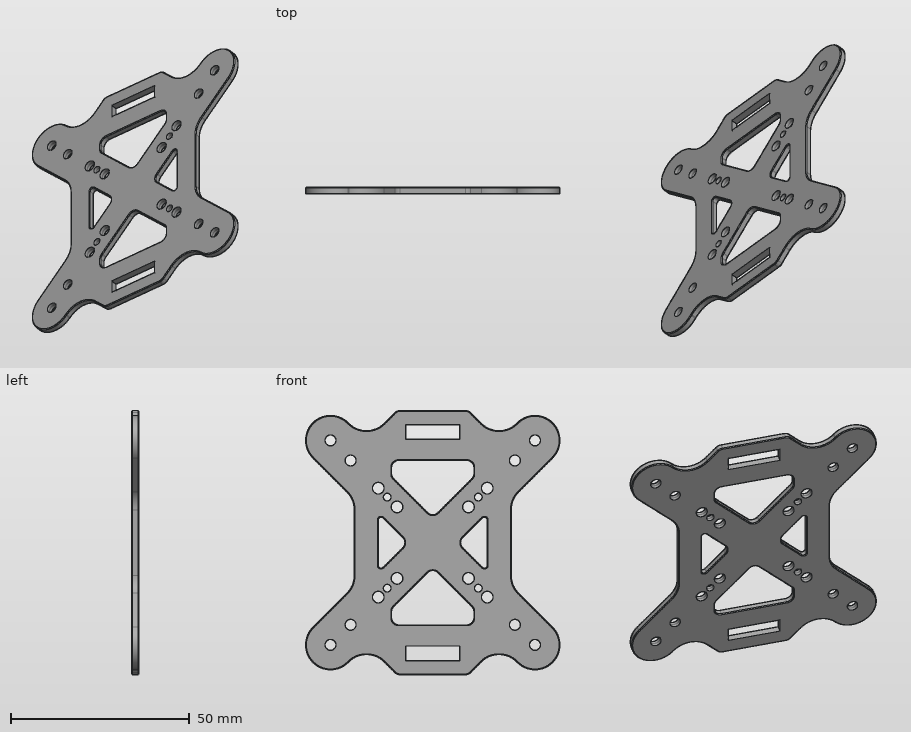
import cadquery as cq
import math

thickness = 2.0
plate_width = 71.25
plate_height = 74.0
edge_break = 0.25

lobe_radius = 7.0
waist_half_width = 22.0
end_tab_half_width = 10.0
waist_fillet = 7.0
valley_fillet = 7.0
end_tab_fillet = 2.0

window_apex = 7.0
end_window_half_width = 11.5
end_window_outer = 23.0
end_window_fillet = 2.0
side_window_outer = 15.25
side_window_apex_fillet = 2.0
side_window_corner_fillet = 0.8

slot_length = 15.0
slot_width = 4.0
slot_offset = 31.0

lobe_offset = plate_width / 2 - lobe_radius
diagonal_holes = [
    (lobe_offset, 3.0),
    (23.0, 3.0),
    (15.25, 3.2),
    (12.75, 2.1),
    (10.0, 3.2),
]

half_height = plate_height / 2
arm_side_intercept = lobe_radius * math.sqrt(2)


def extrude_profile(points):
    """Extrude a closed XZ polygon through the plate, centred on Y = 0."""
    return cq.Workplane("XZ").polyline(points).close().extrude(thickness / 2, both=True)


def corner_selector(x, z):
    """Select the through-thickness edge at a profile corner."""
    reach = 0.01
    return cq.selectors.BoxSelector(
        (x - reach, -thickness, z - reach),
        (x + reach, thickness, z + reach),
    )


def round_corners(body, corners, radius):
    """Fillet the through-thickness edges at the given profile corners."""
    for x, z in corners:
        body = body.edges(corner_selector(x, z)).fillet(radius)
    return body


def mirrored_corners(x, z):
    """Return a corner and its mirror images in the four quadrants."""
    return [(x, z), (-x, z), (-x, -z), (x, -z)]


def make_body():
    """Centre panel with end tabs and four diagonal arms ending in round lobes."""
    tab_side_intercept = half_height + end_tab_half_width
    valley = (
        (tab_side_intercept - arm_side_intercept) / 2,
        (tab_side_intercept + arm_side_intercept) / 2,
    )
    tab = (end_tab_half_width, half_height)
    waist = (waist_half_width, waist_half_width - arm_side_intercept)
    lobe_reach = lobe_radius / math.sqrt(2)
    lobe_near = lobe_offset - lobe_reach
    lobe_far = lobe_offset + lobe_reach

    profile = cq.Workplane("XZ").moveTo(-tab[0], tab[1])
    for sign_x, sign_z in [(1, 1), (1, -1), (-1, -1), (-1, 1)]:
        tab_side = [tab, valley, (lobe_near, lobe_far)]
        waist_side = [waist, (lobe_far, lobe_near)]
        if sign_x == sign_z:
            before, after = tab_side, waist_side[::-1]
        else:
            before, after = waist_side, tab_side[::-1]
        for x, z in before:
            profile = profile.lineTo(sign_x * x, sign_z * z)
        tip = (sign_x * lobe_far, sign_z * lobe_far)
        end_x, end_z = after[0]
        profile = profile.threePointArc(tip, (sign_x * end_x, sign_z * end_z))
        for x, z in after[1:]:
            profile = profile.lineTo(sign_x * x, sign_z * z)
    body = profile.close().extrude(thickness / 2, both=True)

    body = round_corners(body, mirrored_corners(*tab), end_tab_fillet)
    body = round_corners(body, mirrored_corners(*valley), valley_fillet)
    return round_corners(body, mirrored_corners(*waist), waist_fillet)


def make_end_window(side):
    """House-shaped window on the +Z (side = 1) or -Z (side = -1) half."""
    shoulder = side * (window_apex + end_window_half_width)
    outer = side * end_window_outer
    corners = [
        (0, side * window_apex),
        (end_window_half_width, shoulder),
        (end_window_half_width, outer),
        (-end_window_half_width, outer),
        (-end_window_half_width, shoulder),
    ]
    return extrude_profile(corners).edges("|Y").fillet(end_window_fillet)


def make_side_window(side):
    """Triangular window on the +X (side = 1) or -X (side = -1) half."""
    half_base = side_window_outer - window_apex
    apex = (side * window_apex, 0)
    base = [(side * side_window_outer, half_base), (side * side_window_outer, -half_base)]
    window = extrude_profile([apex] + base)
    window = round_corners(window, [apex], side_window_apex_fillet)
    return round_corners(window, base, side_window_corner_fillet)


def cut_slots(body):
    """Cut the strap slot through each end tab."""
    centres = [(0, slot_offset), (0, -slot_offset)]
    slots = cq.Workplane("XZ").pushPoints(centres).rect(slot_length, slot_width)
    return body.cut(slots.extrude(thickness, both=True))


def cut_holes(body):
    """Drill the row of through holes along each diagonal arm."""
    for offset, diameter in diagonal_holes:
        holes = cq.Workplane("XZ").pushPoints(mirrored_corners(offset, offset)).circle(diameter / 2)
        body = body.cut(holes.extrude(thickness, both=True))
    return body


plate = make_body()
for side in (1, -1):
    plate = plate.cut(make_end_window(side)).cut(make_side_window(side))

plate = plate.faces("<Y or >Y").edges().chamfer(edge_break)
result = cut_holes(cut_slots(plate))